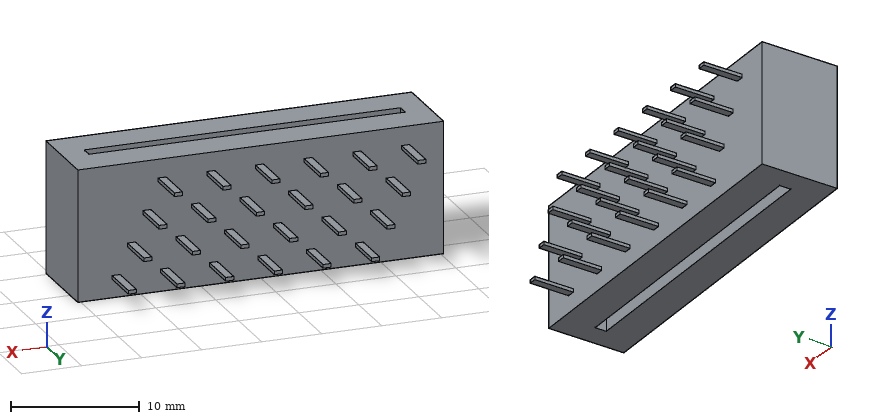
import cadquery as cq

body_length = 30.48
body_depth = 6.98
body_height = 11.0

slot_length = 26.33
slot_width = 1.05

row_count = 4
pins_per_row = 6
pin_width = 0.67
pin_thickness = 0.3
pin_length = 3.57
pin_pitch = 4.05
row_pitch = 2.53
row_shift = 1.28

pin_field_span = (pins_per_row - 1) * pin_pitch + (row_count - 1) * row_shift
first_pin_x = -pin_field_span / 2
top_row_z = (row_count - 1) * row_pitch / 2


def make_housing():
    """Rectangular block, centred on the origin, with the card slot cut through it."""
    block = cq.Workplane("XY").box(body_length, body_depth, body_height)
    slot = cq.Workplane("XY").box(slot_length, slot_width, body_height)
    return block.cut(slot)


def pin_centres():
    """X and Z of every pin, row by row from the top."""
    return [
        (first_pin_x + row * row_shift + column * pin_pitch, top_row_z - row * row_pitch)
        for row in range(row_count)
        for column in range(pins_per_row)
    ]


def add_pins(housing):
    """Join flat pins standing straight out of the back (+Y) face."""
    for x, z in pin_centres():
        pin = (
            cq.Workplane("XY")
            .box(pin_width, pin_length, pin_thickness, centered=(True, False, True))
            .translate((x, body_depth / 2, z))
        )
        housing = housing.union(pin)
    return housing


result = add_pins(make_housing())